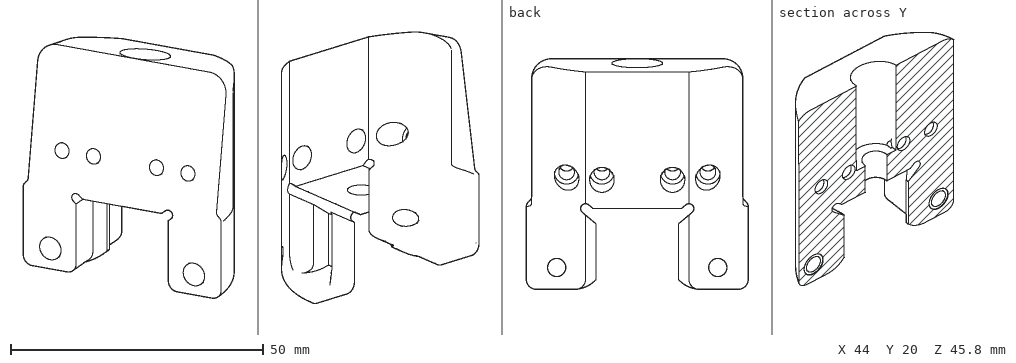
import cadquery as cq
import math

half_width = 22.0
body_depth = 20.0
body_height = 45.75
side_flat_depth = 1.0
arc_center_y = side_flat_depth / 2
arc_radius = math.hypot(half_width, arc_center_y)
bottom_round = 2.0

lean_angle = 10
lean_start = 17.95
plate_half_width = 20.95
plate_corner = 4.03
step_round = 1.0
step_top = 0.45
plate_height = (body_height - lean_start) / math.cos(math.radians(lean_angle))

slot_half_width = 8.15
slot_side_half_width = 10.25
slot_top = 16
rib_crest_width = 1.15
rib_center_y = body_depth / 2
rib_foot_round = 6.0
rib_foot_height = 1.95
relief_radius = 0.95
relief_angle = 40
relief_length = 3.65

bore_y = 10.1
bore_radius = 2.75
counterbore_radius = 5.05
counterbore_floor = 22.85

leg_hole_x = 15.95
leg_hole_z = 4.35
leg_hole_radius = 1.8
leg_counterbore_radius = 2.4
leg_counterbore_depth = 10.05

plate_hole_spacing = 7.0
plate_hole_height = 7.2
plate_hole_radius = 1.55
plate_counterbore_radius = 2.42
plate_counterbore_start = 10.05

reach = 2 * body_height


def lean(shape):
    """Move a shape drawn on an upright face at z = 0 onto the leaning face."""
    return shape.rotate((0, 0, 0), (1, 0, 0), -lean_angle).translate((0, 0, lean_start))


def cylinder_along_y(radius, x, z, start, length):
    """Solid cylinder running toward +Y."""
    return cq.Workplane("XZ", origin=(x, start, z)).circle(radius).extrude(-length)


def round_backed_block():
    """Upright block with a round back cut off flat, rounded underneath."""
    drum = cq.Workplane("XY").center(0, arc_center_y).circle(arc_radius).extrude(reach)
    drum = drum.faces("<Z").edges().fillet(bottom_round)
    limits = cq.Workplane("XY").box(
        2 * half_width, body_depth, reach, centered=(True, False, False)
    )
    return drum.intersect(limits)


def leaning_envelope():
    """Stepped plate outline, rounded at the top corners, run square to the leaning face."""
    mid = math.sqrt(0.5)
    arc_mid_out = step_round * (1 - math.cos(math.radians(22.5)))
    arc_mid_down = step_round * math.sin(math.radians(22.5))
    arc_end_out = step_round * (1 - mid)
    arc_end_down = step_round * mid
    step_width = half_width - plate_half_width
    slope = step_width - 2 * arc_end_out
    step_bottom = step_top - 2 * arc_end_down - slope
    corner_x = plate_half_width - plate_corner
    corner_z = plate_height - plate_corner
    half = (
        cq.Workplane("XZ")
        .moveTo(0, -reach)
        .lineTo(reach, -reach)
        .lineTo(reach, step_bottom)
        .lineTo(half_width, step_bottom)
        .threePointArc(
            (half_width - arc_mid_out, step_bottom + arc_mid_down),
            (half_width - arc_end_out, step_bottom + arc_end_down),
        )
        .lineTo(plate_half_width + arc_end_out, step_top - arc_end_down)
        .threePointArc(
            (plate_half_width + arc_mid_out, step_top - arc_mid_down),
            (plate_half_width, step_top),
        )
        .lineTo(plate_half_width, corner_z)
        .threePointArc(
            (corner_x + mid * plate_corner, corner_z + mid * plate_corner),
            (corner_x, plate_height),
        )
        .lineTo(0, plate_height)
        .close()
        .extrude(-reach)
    )
    return lean(half.union(half.mirror("YZ")))


def right_rib():
    """Upright rib with 45 degree flanks spreading into the leg, its foot swept up to the crest."""
    spread = math.sqrt(rib_foot_round**2 - (rib_foot_round - rib_foot_height) ** 2)
    foot_x = slot_half_width + spread
    half_crest = rib_crest_width / 2
    rib = (
        cq.Workplane("XY")
        .polyline([
            (slot_half_width, rib_center_y - half_crest),
            (foot_x, rib_center_y - half_crest - spread),
            (foot_x, rib_center_y + half_crest + spread),
            (slot_half_width, rib_center_y + half_crest),
        ])
        .close()
        .extrude(slot_top)
    )
    foot = cq.Workplane("XY").box(foot_x, body_depth, rib_foot_height, centered=False)
    foot = foot.cut(cylinder_along_y(rib_foot_round, foot_x, rib_foot_round, 0, body_depth))
    return rib.cut(foot)


def right_leg():
    """Leg below the slot roof, rounded along the foot of its inner wall, with its rib."""
    wall = cq.Workplane("XY").box(reach, 2 * reach, slot_top, centered=(False, True, False))
    wall = wall.edges("<X and <Z").fillet(bottom_round)
    return wall.translate((slot_side_half_width, 0, 0)).union(right_rib())


def right_relief():
    """Round-ended channel sloping out of the upper slot corner, opened up to the slot roof."""
    relief = cylinder_along_y(relief_radius, 0, 0, 0, body_depth)
    channel = cq.Workplane("XY").box(
        relief_length, body_depth, 2 * relief_radius, centered=(False, False, True)
    ).translate((-relief_length, 0, 0))
    relief = relief.union(channel).rotate((0, 0, 0), (0, 1, 0), -relief_angle)
    relief = relief.translate((slot_side_half_width, 0, slot_top))
    clearance = cq.Workplane("XY").box(
        slot_side_half_width - relief_radius, body_depth, relief_radius, centered=False
    )
    return relief.union(clearance.translate((0, 0, slot_top - relief_radius)))


def slotted_block():
    """Oversized block above the slot roof, standing on the two legs."""
    leg = right_leg()
    relief = right_relief()
    roof = cq.Workplane("XY", origin=(0, 0, slot_top)).rect(2 * reach, 2 * reach).extrude(reach)
    block = roof.union(leg).union(leg.mirror("YZ"))
    return block.cut(relief).cut(relief.mirror("YZ"))


def vertical_bore():
    bore = cq.Workplane("XY").center(0, bore_y).circle(bore_radius).extrude(reach)
    wide = (
        cq.Workplane("XY", origin=(0, bore_y, counterbore_floor))
        .circle(counterbore_radius)
        .extrude(reach)
    )
    return bore.union(wide)


def leg_hole(x):
    """Through hole counterbored from the front."""
    hole = cylinder_along_y(leg_hole_radius, x, leg_hole_z, 0, reach)
    wide = cylinder_along_y(leg_counterbore_radius, x, leg_hole_z, 0, leg_counterbore_depth)
    return hole.union(wide)


def plate_hole(x):
    """Through hole square to the leaning face, counterbored from the back."""
    hole = cylinder_along_y(plate_hole_radius, x, plate_hole_height, 0, reach)
    wide = cylinder_along_y(
        plate_counterbore_radius, x, plate_hole_height, plate_counterbore_start, reach
    )
    return lean(hole.union(wide))


result = round_backed_block().intersect(slotted_block())
result = result.intersect(leaning_envelope()).cut(vertical_bore())
for side in (-1, 1):
    result = result.cut(leg_hole(side * leg_hole_x))
    for step in (1, 2):
        result = result.cut(plate_hole(side * step * plate_hole_spacing))